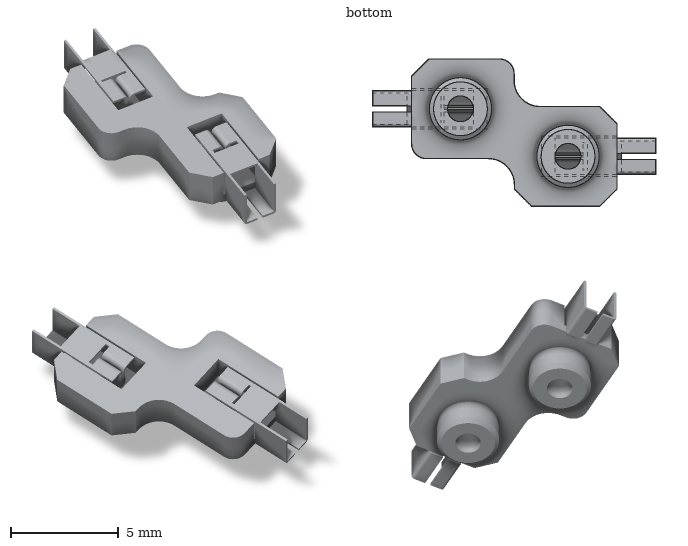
import cadquery as cq

HOUSING_LENGTH = 9.55
HOUSING_WIDTH = 6.85
HOUSING_HEIGHT = 1.78
STAGGER = 2.21
CORNER_CHAMFER = 0.8
OUTER_RADIUS = 0.7
INNER_RADIUS = 1.2

BOSS_DIAMETER = 2.89
BOSS_HEIGHT = 1.28
BOSS_CHAMFER = 0.2
BOSS_SPACING = 5.0
WIRE_HOLE_DIAMETER = 1.2

POCKET_LENGTH = 3.5
POCKET_WIDTH = 1.87
POCKET_DEPTH = 1.38

TOTAL_LENGTH = 13.15
SHEET = 0.12
CONTACT_WIDTH = 1.68
PLATE_START = 1.59
PLATE_END = 4.68
BEND_INNER_RADIUS = 0.04
FOOT_GAP = 0.28
RELIEF_START = 3.17
LEFT_RELIEF_LENGTH = 0.13
RIGHT_RELIEF_LENGTH = 0.22
RELIEF_WIDTH = 1.29
FINGER_DROP = 1.0
FINGER_GAP = 0.08
FINGER_BEND_RADIUS = 0.26

half_length = HOUSING_LENGTH / 2
half_width = HOUSING_WIDTH / 2
block_y = STAGGER / 2
boss_x = BOSS_SPACING / 2
shoulder_y = half_width - STAGGER
wall_length = (TOTAL_LENGTH - HOUSING_LENGTH) / 2
SIDES = (-1, 1)


def box(x_range, y_range, z_range):
    """Box between two limits on each axis."""
    size = [high - low for low, high in (x_range, y_range, z_range)]
    corner = (x_range[0], y_range[0], z_range[0])
    return cq.Workplane("XY").box(*size, centered=False).translate(corner)


def make_housing_body():
    """Staggered slab with chamfered, rounded and hollow corners."""
    outline = [
        (-half_length, -half_width),
        (0, -half_width),
        (0, -shoulder_y),
        (half_length, -shoulder_y),
        (half_length, half_width),
        (0, half_width),
        (0, shoulder_y),
        (-half_length, shoulder_y),
    ]
    chamfered = [outline[0], outline[3], outline[4], outline[5]]
    rounded = [outline[1], outline[7]]
    hollow = [outline[2], outline[6]]
    body = cq.Workplane("XY").polyline(outline).close().extrude(HOUSING_HEIGHT)

    def corner_edge(x, y):
        return body.edges("|Z").edges(cq.selectors.NearestToPointSelector((x, y, HOUSING_HEIGHT / 2)))

    for x, y in hollow:
        body = corner_edge(x, y).fillet(INNER_RADIUS)
    for x, y in rounded:
        body = corner_edge(x, y).fillet(OUTER_RADIUS)
    for x, y in chamfered:
        body = corner_edge(x, y).chamfer(CORNER_CHAMFER)
    return body


def make_boss(side):
    """Boss under one block, chamfered at its lower rim."""
    boss = cq.Workplane("XY").circle(BOSS_DIAMETER / 2).extrude(-BOSS_HEIGHT)
    boss = boss.faces("<Z").chamfer(BOSS_CHAMFER)
    return boss.translate((side * boss_x, side * block_y, 0))


def make_pocket(side):
    """Contact pocket, open at the top and at the end of one block."""
    inner_x = half_length - POCKET_LENGTH
    pocket = box(
        (min(side * inner_x, side * half_length), max(side * inner_x, side * half_length)),
        (-POCKET_WIDTH / 2, POCKET_WIDTH / 2),
        (HOUSING_HEIGHT - POCKET_DEPTH, HOUSING_HEIGHT),
    )
    return pocket.translate((0, side * block_y, 0))


def make_wire_hole(side):
    """Hole from the bottom of a boss up into the pocket above it."""
    hole = cq.Workplane("XY").circle(WIRE_HOLE_DIAMETER / 2).extrude(BOSS_HEIGHT + HOUSING_HEIGHT)
    return hole.translate((side * boss_x, side * block_y, -BOSS_HEIGHT))


def make_housing():
    """Moulded housing with both bosses, pockets and wire holes."""
    body = make_housing_body()
    for side in SIDES:
        body = body.union(make_boss(side)).cut(make_pocket(side)).cut(make_wire_hole(side))
    return body


def make_channel():
    """Side walls and inturned feet outside the housing."""
    half = CONTACT_WIDTH / 2
    span_x = (0, wall_length)
    channel = box(span_x, (-half, half), (-SHEET, HOUSING_HEIGHT))
    channel = channel.edges("|X and <Z").fillet(BEND_INNER_RADIUS + SHEET)
    inside = box(span_x, (SHEET - half, half - SHEET), (0, HOUSING_HEIGHT))
    inside = inside.edges("|X and <Z").fillet(BEND_INNER_RADIUS)
    foot_slot = box(span_x, (-FOOT_GAP / 2, FOOT_GAP / 2), (-SHEET, 0))
    return channel.cut(inside).cut(foot_slot)


def make_plate(relief_end):
    """Top plate with the cross relief and the opening for the fingers."""
    plate_z = (HOUSING_HEIGHT - SHEET, HOUSING_HEIGHT)
    half_opening = FINGER_GAP / 2 + FINGER_BEND_RADIUS
    plate = box((PLATE_START, PLATE_END), (-CONTACT_WIDTH / 2, CONTACT_WIDTH / 2), plate_z)
    relief = box((RELIEF_START, relief_end), (-RELIEF_WIDTH / 2, RELIEF_WIDTH / 2), plate_z)
    opening = box((relief_end, PLATE_END), (-half_opening, half_opening), plate_z)
    return plate.cut(relief).cut(opening)


def make_finger(start_x):
    """Spring finger on the +Y side, bent down from the plate."""
    root_y = FINGER_GAP / 2 + FINGER_BEND_RADIUS
    inner_y = FINGER_GAP / 2
    inner_bend = FINGER_BEND_RADIUS - SHEET
    bend_z = HOUSING_HEIGHT - FINGER_BEND_RADIUS
    tip_z = HOUSING_HEIGHT - FINGER_DROP
    profile = (
        cq.Workplane("YZ", origin=(start_x, 0, 0))
        .moveTo(root_y, HOUSING_HEIGHT)
        .radiusArc((inner_y, bend_z), -FINGER_BEND_RADIUS)
        .lineTo(inner_y, tip_z)
        .lineTo(inner_y + SHEET, tip_z)
        .lineTo(inner_y + SHEET, bend_z)
        .radiusArc((root_y, bend_z + inner_bend), inner_bend)
        .close()
    )
    return profile.extrude(PLATE_END - start_x)


def make_contact(side, relief_length):
    """Contact of one block: channel, plate and two fingers in one piece."""
    relief_end = RELIEF_START + relief_length
    finger = make_finger(relief_end)
    contact = make_channel().union(make_plate(relief_end)).union(finger).union(finger.mirror("XZ"))
    if side > 0:
        contact = contact.mirror("YZ")
    return contact.translate((side * TOTAL_LENGTH / 2, side * block_y, 0))


housing = make_housing()
contacts = [
    make_contact(side, relief_length)
    for side, relief_length in zip(SIDES, (LEFT_RELIEF_LENGTH, RIGHT_RELIEF_LENGTH))
]
result = cq.Compound.makeCompound([housing.val(), *[contact.val() for contact in contacts]])